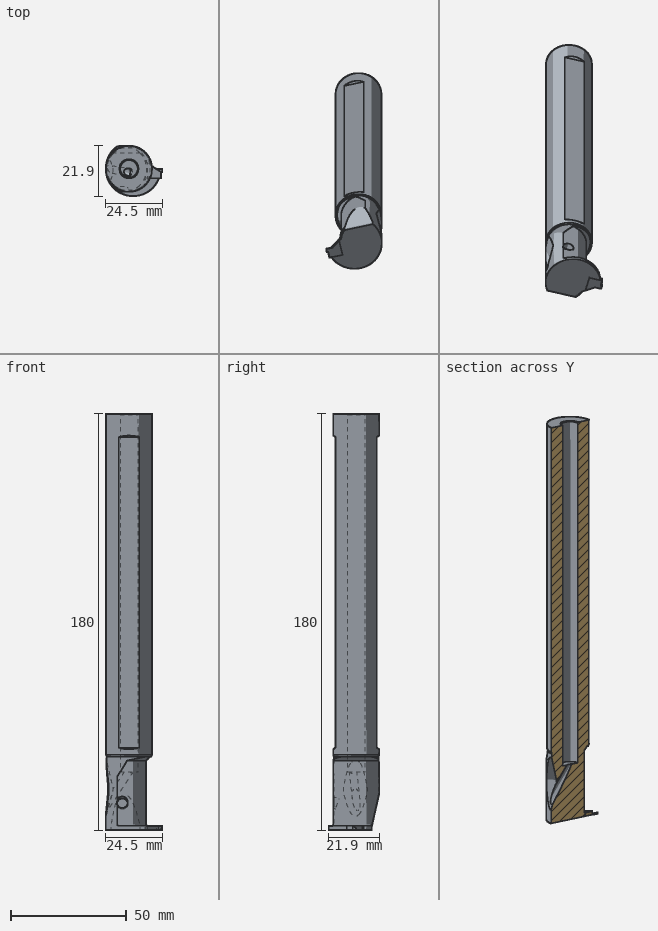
import cadquery as cq
import math

total_length = 180.0
shank_diameter = 20.0
shank_radius = shank_diameter / 2
head_height = 31.7
shank_chamfer = 0.9
joint_step = 0.4

flat_distance = 9.0
flat_bottom = 35.0
flat_top = 170.6
flat_end_run = 0.7

bore_radius = 3.8
bore_mouth_radius = 4.1
bore_bottom = 25.2
channel_radius = 1.6
channel_start = (0, -1.5, 25.5)
channel_exit = (-11.2, 0.4, 8.8)

wide_radius = 11.9
wide_offset = 1.8
neck_offset = -2.5
neck_radius = shank_radius
neck_top = 30.0
cone_top_radius = shank_radius - joint_step
cone_slope = 0.15
relief_height = 16.2
relief_top_y = 10.0
relief_bottom_y = 6.8

flange_thickness = 1.8
flange_fillet = 0.5

pocket_radius = 8.3
pocket_center_y = -0.7
pocket_bottom = 6.3
pocket_middle = 17.3
pocket_top = 31.0
pocket_depth = 3.2
pocket_blend = 7.2

side_hole_radius = 2.3
side_hole_x = -2.9
side_hole_height = 12.0
side_hole_depth = 1.8
side_hole_tilt = 20.0

tip_inner_x = neck_offset + neck_radius + flange_fillet
tip_back_y = -4.1
tip_flank_x = 13.9
tip_outer_x = 14.4
tip_land = 1.5
rake_start_x = 11.7
rake_slope = 0.7
rake_bevel = 1.0


def upright_cylinder(radius, height, center_x=0.0, base=0.0):
    return cq.Workplane("XY", origin=(center_x, 0, base)).circle(radius).extrude(height)


def cylinder_between(start, end, radius):
    axis = cq.Vector(*end) - cq.Vector(*start)
    return cq.Workplane(cq.Solid.makeCylinder(radius, axis.Length, cq.Vector(*start), axis))


def make_shank():
    shank = upright_cylinder(shank_radius, total_length - head_height, base=head_height)
    shank = shank.faces("<Z").chamfer(shank_chamfer, joint_step)
    flat_depth = shank_radius - flat_distance
    flat_cutter = (
        cq.Workplane("YZ")
        .moveTo(flat_distance, flat_bottom + flat_end_run)
        .lineTo(flat_distance, flat_top - flat_end_run)
        .lineTo(flat_distance + flat_depth, flat_top)
        .lineTo(flat_distance + flat_depth, flat_bottom)
        .close()
        .extrude(shank_radius, both=True)
    )
    return shank.cut(flat_cutter).cut(flat_cutter.mirror("XZ"))


def make_head_core():
    cone_foot_radius = cone_top_radius + cone_slope * head_height
    cone = cq.Workplane(cq.Solid.makeCone(cone_foot_radius, cone_top_radius, head_height))
    wide = upright_cylinder(wide_radius, head_height, wide_offset)
    flare_height = head_height - neck_top
    neck = upright_cylinder(neck_radius, neck_top, neck_offset)
    flare_foot = cq.Vector(neck_offset, 0, neck_top)
    flare = cq.Solid.makeCone(neck_radius, neck_radius + flare_height, flare_height, flare_foot)
    return cone.intersect(wide).intersect(neck.union(cq.Workplane(flare)))


def rake_line_y(x):
    """Y of the slanted front edge of the flange at a given X."""
    return rake_slope * (rake_start_x - x)


def make_tip_seat():
    """Corner of the flange that the cutting tip takes the place of."""
    seat = cq.Workplane("XY").box(wide_radius, wide_radius, flange_thickness, centered=False)
    return seat.translate((tip_inner_x, tip_back_y, 0))


def make_flange():
    disc = upright_cylinder(wide_radius, flange_thickness, wide_offset)
    behind_rake = (
        cq.Workplane("XY")
        .moveTo(0, rake_line_y(0))
        .lineTo(rake_start_x, 0)
        .lineTo(wide_offset + 2 * wide_radius, 0)
        .lineTo(wide_offset + 2 * wide_radius, 2 * wide_radius)
        .lineTo(0, 2 * wide_radius)
        .close()
        .extrude(flange_thickness)
    )
    foot_radius = neck_radius + flange_fillet
    fillet_top = flange_thickness + flange_fillet
    foot = (
        cq.Workplane("XZ")
        .moveTo(0, flange_thickness)
        .lineTo(foot_radius, flange_thickness)
        .radiusArc((neck_radius, fillet_top), flange_fillet)
        .lineTo(0, fillet_top)
        .close()
        .revolve(360, (0, 0, 0), (0, 1, 0))
        .translate((neck_offset, 0, 0))
    )
    foot = foot.intersect(upright_cylinder(wide_radius, fillet_top, wide_offset))
    return disc.cut(behind_rake).cut(make_tip_seat()).union(foot)


def make_back_relief():
    """Leaning cut that clears the +Y side of the head."""
    return (
        cq.Workplane("YZ")
        .moveTo(relief_bottom_y, 0)
        .lineTo(relief_bottom_y, flange_thickness)
        .lineTo(relief_top_y, relief_height)
        .lineTo(2 * wide_radius, relief_height)
        .lineTo(2 * wide_radius, 0)
        .close()
        .extrude(2 * wide_radius, both=True)
    )


def pocket_wall(edge_height):
    """Cylinder whose inner line runs from the head surface to the pocket's deepest point."""
    rise = pocket_middle - edge_height
    direction = cq.Vector(pocket_depth, 0, rise).normalized()
    outward = cq.Vector(-abs(direction.z), 0, math.copysign(direction.x, rise))
    surface_point = cq.Vector(-shank_radius, pocket_center_y, edge_height)
    axis_point = surface_point + outward * pocket_radius
    reach = 4 * pocket_top
    base = axis_point - direction * (reach / 2)
    return cq.Workplane(cq.Solid.makeCylinder(pocket_radius, reach, base, direction))


def make_chip_pocket():
    """V-shaped notch between two leaning cylinders, rounded at its valley."""
    pocket = pocket_wall(pocket_bottom).intersect(pocket_wall(pocket_top))
    deepest_point = (pocket_depth - shank_radius, pocket_center_y, pocket_middle)
    valley = cq.selectors.NearestToPointSelector(deepest_point)
    return pocket.edges(valley).fillet(pocket_blend)


def make_coolant_bore():
    mouth = bore_mouth_radius - bore_radius
    return (
        cq.Workplane("XZ")
        .moveTo(0, bore_bottom)
        .lineTo(bore_radius, bore_bottom)
        .lineTo(bore_radius, total_length - mouth)
        .lineTo(bore_mouth_radius, total_length)
        .lineTo(0, total_length)
        .close()
        .revolve(360, (0, 0, 0), (0, 1, 0))
    )


def make_side_hole():
    tilt = math.radians(side_hole_tilt)
    surface_y = -math.sqrt(neck_radius**2 - (side_hole_x - neck_offset) ** 2)
    inward = cq.Vector(0, math.cos(tilt), -math.sin(tilt))
    mouth = cq.Vector(side_hole_x, surface_y, side_hole_height)
    start = mouth - inward * side_hole_radius
    end = mouth + inward * side_hole_depth
    return cylinder_between(start.toTuple(), end.toTuple(), side_hole_radius)


def make_tip():
    tip = (
        cq.Workplane("XY")
        .moveTo(tip_inner_x, tip_back_y)
        .lineTo(tip_flank_x, tip_back_y)
        .lineTo(tip_flank_x, -tip_land)
        .lineTo(tip_outer_x, -tip_land)
        .lineTo(tip_outer_x, 0)
        .lineTo(rake_start_x, 0)
        .lineTo(tip_inner_x, rake_line_y(tip_inner_x))
        .close()
        .extrude(flange_thickness)
    )
    rake_edge = cq.selectors.NearestToPointSelector(((rake_start_x + tip_outer_x) / 2, 0, flange_thickness))
    return tip.edges(rake_edge).chamfer(rake_bevel)


def make_holder():
    """Head, flange and shank as one solid, with all cuts made."""
    head = make_head_core().union(make_flange())
    head = head.cut(make_back_relief()).cut(make_chip_pocket())
    holder = head.union(make_shank())
    holder = holder.cut(make_coolant_bore())
    holder = holder.cut(cylinder_between(channel_start, channel_exit, channel_radius))
    return holder.cut(make_side_hole())


holder = make_holder()
tip = make_tip()

result = cq.Compound.makeCompound([holder.val(), tip.val()])